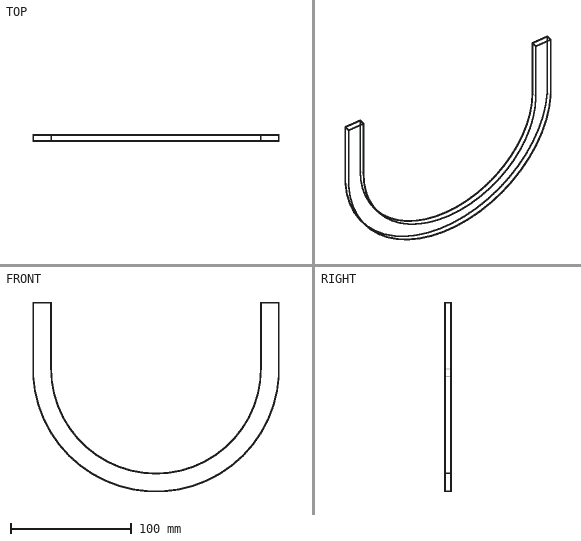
import cadquery as cq

width = 204.0
height = 156.9
thickness = 5.0
band = 15.0
outer_leg_length = 61.0

outer_half = width / 2
inner_radius = outer_half - band
leg_top = height / 2
outer_bottom = -height / 2
inner_bottom = outer_bottom + band
outer_foot = leg_top - outer_leg_length
inner_foot = inner_bottom + inner_radius

result = (
    cq.Workplane("XZ")
    .moveTo(-outer_half, leg_top)
    .lineTo(-outer_half, outer_foot)
    .threePointArc((0, outer_bottom), (outer_half, outer_foot))
    .lineTo(outer_half, leg_top)
    .lineTo(inner_radius, leg_top)
    .lineTo(inner_radius, inner_foot)
    .threePointArc((0, inner_bottom), (-inner_radius, inner_foot))
    .lineTo(-inner_radius, leg_top)
    .close()
    .extrude(thickness / 2, both=True)
)